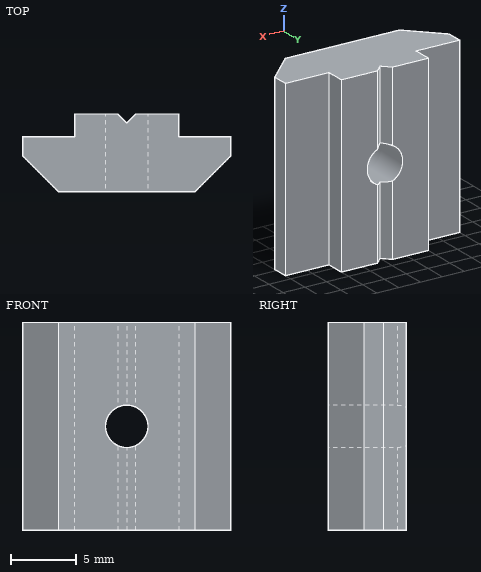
import cadquery as cq

width = 16.0
thickness = 6.0
length = 16.0

tongue_width = width / 2
tongue_height = 1.75
bevel = 2.75
notch_depth = 0.69
hole_diameter = 3.25

half_width = width / 2
half_tongue = tongue_width / 2
front_y = -thickness / 2
back_y = thickness / 2
shoulder_y = back_y - tongue_height


def make_body():
    """Constant T-nut section, extruded along Z."""
    outline = [
        (-half_width + bevel, front_y),
        (half_width - bevel, front_y),
        (half_width, front_y + bevel),
        (half_width, shoulder_y),
        (half_tongue, shoulder_y),
        (half_tongue, back_y),
        (notch_depth, back_y),
        (0, back_y - notch_depth),
        (-notch_depth, back_y),
        (-half_tongue, back_y),
        (-half_tongue, shoulder_y),
        (-half_width, shoulder_y),
        (-half_width, front_y + bevel),
    ]
    return cq.Workplane("XY").polyline(outline).close().extrude(length / 2, both=True)


def make_hole():
    """Central hole through the full thickness, along Y."""
    return cq.Workplane("XZ").circle(hole_diameter / 2).extrude(thickness, both=True)


result = make_body().cut(make_hole())